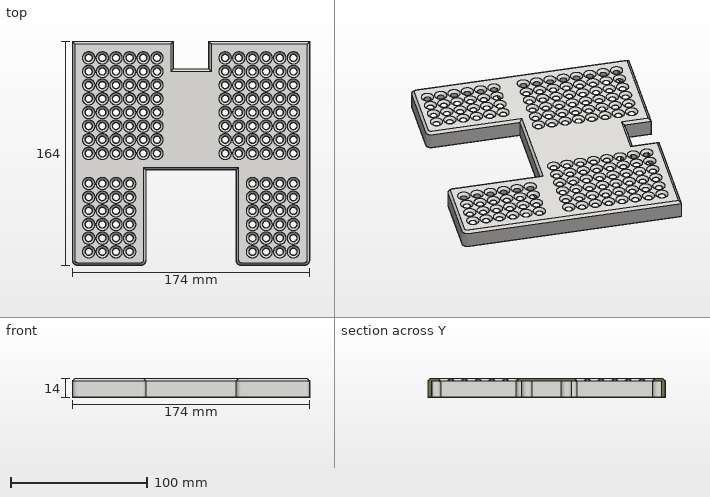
import cadquery as cq

LENGTH_X = 174.0
LENGTH_Y = 164.0
HEIGHT = 14.0
NOTCH_WIDTH = 26.0
NOTCH_DEPTH = 20.0
SLOT_WIDTH = 66.0
SLOT_DEPTH = 70.0
TOP_CHAMFER = 2.0
LEG_CORNER_RADIUS = 4.0

SIDE_WALL = 3.0
TOP_WALL = 2.0
CAVITY_HEIGHT = HEIGHT - TOP_WALL

SIDE_MARGIN = 12.0
BACK_MARGIN = SIDE_MARGIN
PITCHES_ACROSS = 15
PITCH = (LENGTH_X - 2 * SIDE_MARGIN) / PITCHES_ACROSS
FRONT_MARGIN = PITCH
HOLE_DIAMETER = 5.0
HOLE_RIM_DIAMETER = 9.0
BACK_COLUMNS = 6
BACK_ROWS = 8
FRONT_COLUMNS = 4
FRONT_ROWS = 6

BOSS_DIAMETER = 7.8
SCREW_HOLE_DIAMETER = 2.5
BACK_CORNER_INSET = 5.5
LEG_BOSS_INSET = 6.1
LEG_BOSS_Y = 67.9
NOTCH_BOSS_X = 14.5
NOTCH_BOSS_INSET = 5.2


def mirrored_in_x(points):
    """The given points together with their mirror images about X = 0."""
    return points + [(-x, y) for x, y in points]


def plate_outline():
    """H-like outline, mirrored about X = 0, with its front edge on Y = 0."""
    half_length = LENGTH_X / 2
    half_notch = NOTCH_WIDTH / 2
    half_slot = SLOT_WIDTH / 2
    right_half = [
        (half_slot, SLOT_DEPTH),
        (half_slot, 0),
        (half_length, 0),
        (half_length, LENGTH_Y),
        (half_notch, LENGTH_Y),
        (half_notch, LENGTH_Y - NOTCH_DEPTH),
    ]
    left_half = [(-x, y) for x, y in reversed(right_half)]
    return cq.Workplane("XY").polyline(right_half + left_half).close()


def plate():
    """Solid plate with rounded leg ends and a chamfer around the top."""
    body = plate_outline().extrude(HEIGHT)
    leg_ends = body.faces("<Y").edges("|Z")
    body = leg_ends.fillet(LEG_CORNER_RADIUS)
    return body.faces(">Z").chamfer(TOP_CHAMFER)


def boss_centres():
    """Back corners, notch corners and both sides of each leg root."""
    half_length = LENGTH_X / 2
    back_y = LENGTH_Y - BACK_CORNER_INSET
    right = [
        (half_length - BACK_CORNER_INSET, back_y),
        (NOTCH_WIDTH / 2 + BACK_CORNER_INSET, back_y),
        (NOTCH_BOSS_X, LENGTH_Y - NOTCH_DEPTH - NOTCH_BOSS_INSET),
        (SLOT_WIDTH / 2 + LEG_BOSS_INSET, LEG_BOSS_Y),
        (half_length - LEG_BOSS_INSET, LEG_BOSS_Y),
    ]
    return mirrored_in_x(right)


def boss_cylinders(diameter):
    """Upright cylinders at the boss centres, as tall as the cavity."""
    centres = cq.Workplane("XY").pushPoints(boss_centres())
    return centres.circle(diameter / 2).extrude(CAVITY_HEIGHT)


def underside_cavity():
    """Pocket open at the bottom, with an even side wall and standing bosses."""
    pocket = plate_outline().offset2D(-SIDE_WALL, "intersection").extrude(CAVITY_HEIGHT)
    return pocket.cut(boss_cylinders(BOSS_DIAMETER))


def field_centres(columns, rows, first_y, step_y):
    """Hole centres of one field on the left half, starting at its outer column."""
    first_x = SIDE_MARGIN - LENGTH_X / 2
    return [
        (first_x + column * PITCH, first_y + row * step_y)
        for column in range(columns)
        for row in range(rows)
    ]


def hole_cutters():
    """Tapered cutters, wide at the top face and narrow at the cavity roof."""
    profile = [
        (0, CAVITY_HEIGHT),
        (HOLE_DIAMETER / 2, CAVITY_HEIGHT),
        (HOLE_RIM_DIAMETER / 2, HEIGHT),
        (0, HEIGHT),
    ]
    cutter = cq.Workplane("XZ").polyline(profile).close().revolve(360, (0, 0), (0, 1)).val()
    back_field = field_centres(BACK_COLUMNS, BACK_ROWS, LENGTH_Y - BACK_MARGIN, -PITCH)
    leg_field = field_centres(FRONT_COLUMNS, FRONT_ROWS, FRONT_MARGIN, PITCH)
    centres = mirrored_in_x(back_field + leg_field)
    return cq.Workplane("XY").pushPoints(centres).eachpoint(lambda place: cutter.moved(place))


perforated_plate = (
    plate()
    .cut(underside_cavity())
    .cut(boss_cylinders(SCREW_HOLE_DIAMETER))
    .cut(hole_cutters())
)
result = cq.Workplane("XY").newObject([perforated_plate.solids().val()])